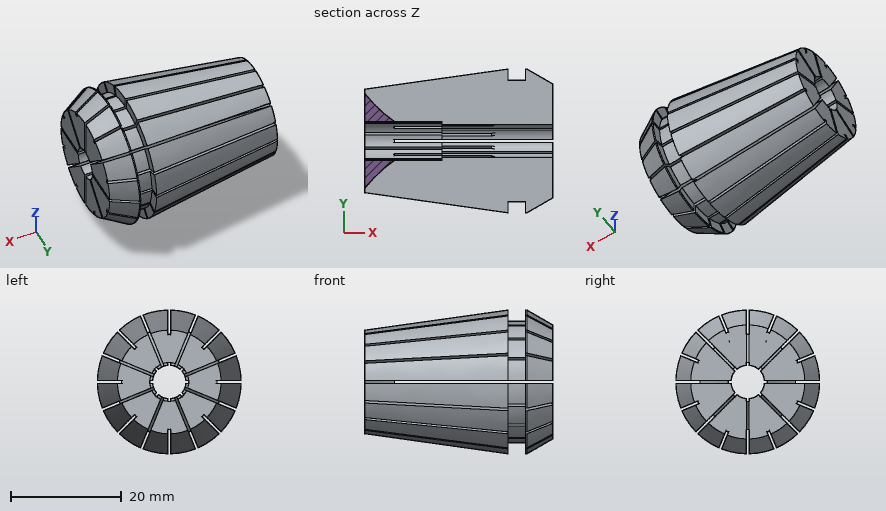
import cadquery as cq
import math

length = 34.0
max_radius = 13.0
taper_length = 25.9
taper_half_angle = 8.0
small_end_radius = max_radius - taper_length * math.tan(math.radians(taper_half_angle))
groove_radius = 11.0
flange_start = 29.05
flange_rim_width = 0.25
nose_radius = 10.3

grip_radius = 3.0
relief_radius = 3.5
relief_depth = 14.0

slot_width = 0.5
slots_per_set = 8
slot_pitch = 360.0 / slots_per_set
saw_radius = 25.0
clearance = 1.0
outer_reach = max_radius + clearance

nose_slot_floor = -1.0
small_end_web_radius = 8.63

rear_slot_floor = 2.0
nose_web_radius = 9.7


def make_body():
    half_section = [
        (0, relief_radius),
        (0, small_end_radius),
        (taper_length, max_radius),
        (taper_length, groove_radius),
        (flange_start, groove_radius),
        (flange_start, max_radius),
        (flange_start + flange_rim_width, max_radius),
        (length, nose_radius),
        (length, grip_radius),
        (relief_depth, grip_radius),
        (relief_depth, relief_radius),
    ]
    profile = cq.Workplane("XY").polyline(half_section).close()
    return profile.revolve(360, (0, 0, 0), (1, 0, 0))


def saw_run(rise):
    """Axial distance from the saw's deepest point to where its rim has risen by `rise`."""
    return math.sqrt(saw_radius**2 - (saw_radius - rise) ** 2)


def make_slot(blind_face, open_face, floor_radius, web_radius, angle):
    """Radial slot turned about the X axis, through the open face and ending at a web.

    The web is an arc of the saw rim that reaches web_radius at the blind face.
    """
    toward_blind = math.copysign(1, blind_face - open_face)
    deepest_x = blind_face - toward_blind * saw_run(web_radius - floor_radius)
    rim_top_x = deepest_x + toward_blind * saw_run(outer_reach - floor_radius)
    open_x = open_face - toward_blind * clearance
    outline = (
        cq.Workplane("XZ")
        .moveTo(deepest_x, floor_radius)
        .threePointArc((blind_face, web_radius), (rim_top_x, outer_reach))
        .lineTo(open_x, outer_reach)
        .lineTo(open_x, floor_radius)
        .close()
    )
    slot = outline.extrude(slot_width / 2, both=True)
    return slot.rotate((0, 0, 0), (1, 0, 0), angle)


result = make_body()
for index in range(slots_per_set):
    nose_slot_angle = index * slot_pitch
    rear_slot_angle = nose_slot_angle + slot_pitch / 2
    nose_slot = make_slot(0, length, nose_slot_floor, small_end_web_radius, nose_slot_angle)
    rear_slot = make_slot(length, 0, rear_slot_floor, nose_web_radius, rear_slot_angle)
    result = result.cut(nose_slot).cut(rear_slot)